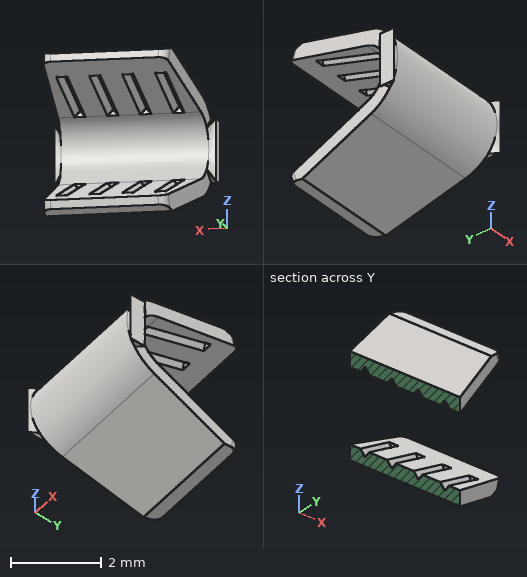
import cadquery as cq
import math

overall_height = 3.68
overall_depth = 3.43
tab_span = 3.68

thickness = 0.41
bend_outer_radius = 1.203
arm_angle = math.radians(18)
base_width = 3.43
side_taper = 5.17

tip_thickness = 0.205
tip_corner_radius = 0.2

tab_height = 1.425

groove_count = 4
groove_pitch = 0.75
groove_width = 0.25
groove_depth = 0.16
groove_tip_margin = 0.73

bend_inner_radius = bend_outer_radius - thickness
bend_center_y = bend_outer_radius
cos_arm = math.cos(arm_angle)
sin_arm = math.sin(arm_angle)
arm_length = (overall_depth - bend_center_y + bend_inner_radius * sin_arm) / cos_arm
chamfer_start = (overall_height / 2 - bend_outer_radius * cos_arm) / sin_arm
blank_width = 2 * base_width
envelope_start_y = -thickness


def half_width(y):
    """Half the X width of the strip at the given Y."""
    return base_width / 2 - y * math.tan(math.radians(side_taper))


tip_half_width = half_width(overall_depth)


def arm_point(along, radius):
    """(Y, Z) of a point on the upper arm, `radius` being its offset from the bend centre."""
    y = bend_center_y - radius * sin_arm + along * cos_arm
    z = radius * cos_arm + along * sin_arm
    return y, z


def mirrored(point):
    return point[0], -point[1]


def bent_blank():
    """The V-shaped strip profile with thinned tips, extruded along X."""
    inner_bend_end = arm_point(0, bend_inner_radius)
    inner_tip = arm_point(arm_length, bend_inner_radius)
    outer_tip = arm_point(arm_length, bend_inner_radius + tip_thickness)
    chamfer_corner = arm_point(chamfer_start, bend_outer_radius)
    outer_bend_end = arm_point(0, bend_outer_radius)
    inner_apex = (bend_center_y - bend_inner_radius, 0)
    outer_apex = (bend_center_y - bend_outer_radius, 0)
    return (
        cq.Workplane("YZ")
        .moveTo(*inner_bend_end)
        .lineTo(*inner_tip)
        .lineTo(*outer_tip)
        .lineTo(*chamfer_corner)
        .lineTo(*outer_bend_end)
        .threePointArc(outer_apex, mirrored(outer_bend_end))
        .lineTo(*mirrored(chamfer_corner))
        .lineTo(*mirrored(outer_tip))
        .lineTo(*mirrored(inner_tip))
        .lineTo(*mirrored(inner_bend_end))
        .threePointArc(inner_apex, inner_bend_end)
        .close()
        .extrude(blank_width / 2, both=True)
    )


def taper_envelope():
    """Tall prism whose plan outline narrows from the bend towards the arm tips."""
    start_half_width = half_width(envelope_start_y)
    return (
        cq.Workplane("XY")
        .polyline([
            (-start_half_width, envelope_start_y),
            (start_half_width, envelope_start_y),
            (tip_half_width, overall_depth),
            (-tip_half_width, overall_depth),
        ])
        .close()
        .extrude(overall_height, both=True)
    )


def round_tip_corners(strip):
    """Round the two corners of each arm tip, across the strip thickness."""
    end_y, end_z = arm_point(arm_length, bend_inner_radius + tip_thickness / 2)
    for x in (-tip_half_width, tip_half_width):
        for z in (-end_z, end_z):
            corner = cq.selectors.NearestToPointSelector((x, end_y, z))
            strip = strip.edges(corner).fillet(tip_corner_radius)
    return strip


def bend_sector():
    """The part of the bend, centred on Z = 0, that carries the side tabs."""
    half_angle = math.asin(tab_height / 2 / bend_outer_radius)

    def sector_point(radius, angle):
        return bend_center_y - radius * math.cos(angle), radius * math.sin(angle)

    return (
        cq.Workplane("YZ")
        .moveTo(*sector_point(bend_outer_radius, -half_angle))
        .threePointArc(sector_point(bend_outer_radius, 0), sector_point(bend_outer_radius, half_angle))
        .lineTo(*sector_point(bend_inner_radius, half_angle))
        .threePointArc(sector_point(bend_inner_radius, 0), sector_point(bend_inner_radius, -half_angle))
        .close()
        .extrude(blank_width / 2, both=True)
    )


def side_tab():
    """The -X tab: the curved edge of the bend flattened out to a rectangular end face."""
    root = bend_sector().intersect(taper_envelope()).faces("<X").val().outerWire()
    half_height = tab_height / 2
    end_x = -tab_span / 2
    end = cq.Wire.makePolygon(
        [
            cq.Vector(end_x, 0, -half_height),
            cq.Vector(end_x, 0, half_height),
            cq.Vector(end_x, thickness, half_height),
            cq.Vector(end_x, thickness, -half_height),
        ],
        close=True,
    )
    return cq.Workplane("XY").newObject([cq.Solid.makeLoft([root, end], True)])


def arm_groove(x):
    """V-shaped cutter sunk into the inner face of the upper arm at the given X."""
    arm_face = cq.Plane(
        origin=(x, *arm_point(0, bend_inner_radius)),
        xDir=(1, 0, 0),
        normal=(0, cos_arm, sin_arm),
    )
    return (
        cq.Workplane(arm_face)
        .polyline([(-groove_width / 2, 0), (groove_width / 2, 0), (0, -groove_depth)])
        .close()
        .extrude(arm_length - groove_tip_margin)
    )


result = round_tip_corners(bent_blank().intersect(taper_envelope()))

tab = side_tab()
result = result.union(tab).union(tab.mirror("YZ"))

for index in range(groove_count):
    groove = arm_groove((index - (groove_count - 1) / 2) * groove_pitch)
    result = result.cut(groove).cut(groove.mirror("XY"))